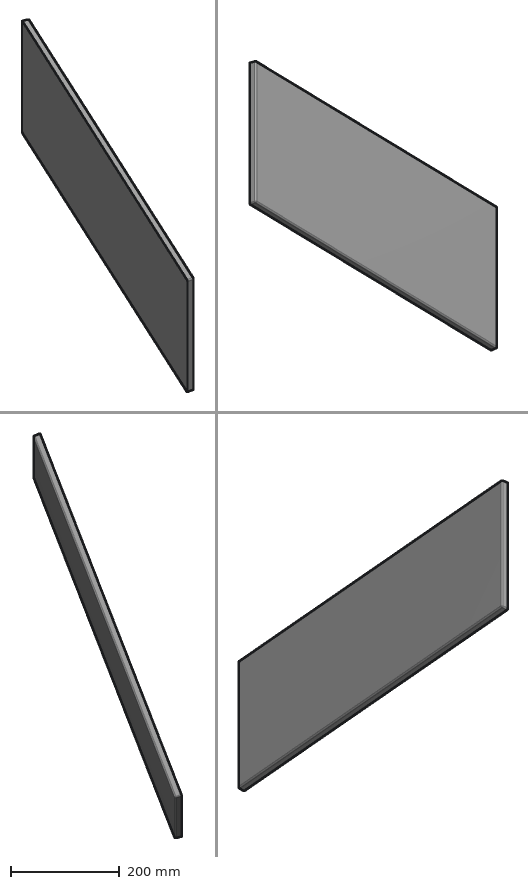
import cadquery as cq

WIDTH = 738.0
HEIGHT = 294.0
DEPTH = 17.0

CORNER_RADIUS = 3.0
DRAFT_ANGLE = 3.0
BACK_FILLET = 3.0
DOME_RISE = 3.2
SLAB_DEPTH = DEPTH - DOME_RISE


def make_slab():
    """Flat panel with rounded corners, tapering toward its rounded-over back edge."""
    outline = cq.Sketch().rect(WIDTH, HEIGHT).vertices().fillet(CORNER_RADIUS)
    front_plane = cq.Plane(origin=(0, 0, 0), xDir=(-1, 0, 0), normal=(0, 1, 0))
    slab = cq.Workplane(front_plane).placeSketch(outline).extrude(SLAB_DEPTH, taper=DRAFT_ANGLE)
    return slab.faces(">Y").edges().fillet(BACK_FILLET)


def dome_back(slab):
    """Replace the slab's flat back face with a shallow dome, highest at the centre."""
    flat_back = slab.faces(">Y").val()
    crown = cq.Vector(0, DEPTH, 0)
    dome = cq.Face.makeNSidedSurface(flat_back.outerWire().Edges(), [crown])
    kept_faces = [face for face in slab.faces().vals() if not face.isSame(flat_back)]
    return cq.Solid.makeSolid(cq.Shell.makeShell(kept_faces + [dome]))


result = cq.Workplane(dome_back(make_slab()))